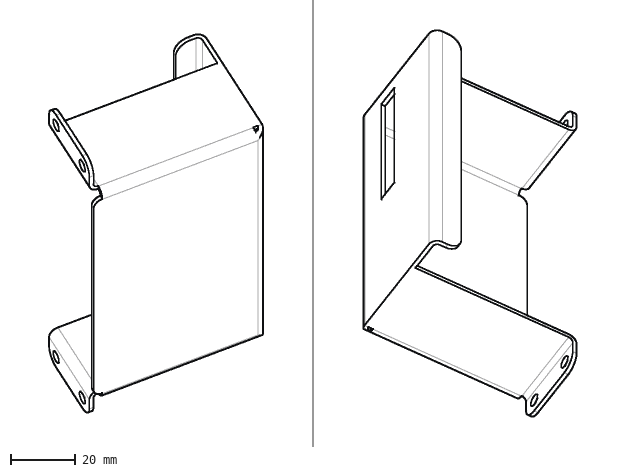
import cadquery as cq

width = 45.0
depth = 60.0
height = 122.0

sheet = 1.5
inner_bend = 1.6
outer_bend = inner_bend + sheet

tab_height = 11.0
tab_left = 13.5
tab_right = width - outer_bend
tab_corner = 5.0
hole_diameter = 4.0
hole_inset = 5.0

lip_depth = 10.0
lip_corner = 5.0

slot_left = 23.9
slot_width = 8.0
slot_height = 45.0
slot_top_margin = 5.0

box_top = height / 2 - tab_height
side_top = box_top - outer_bend


def box(x_range, y_range, z_range):
    """Rectangular block between the given limits."""
    sizes = [high - low for low, high in (x_range, y_range, z_range)]
    corner = (x_range[0], y_range[0], z_range[0])
    return cq.Workplane("XY").box(*sizes, centered=False).translate(corner)


def bend(plane, origin, x_sign, y_sign, length):
    """Quarter-round bend about origin, opening towards one quadrant of the plane."""
    ring = cq.Workplane(plane, origin=origin).circle(outer_bend).circle(inner_bend).extrude(length)
    quadrant = (
        cq.Workplane(plane, origin=origin)
        .rect(x_sign * outer_bend, y_sign * outer_bend, centered=False)
        .extrude(length)
    )
    return ring.intersect(quadrant)


def back_plate():
    """Flat back with its rectangular window."""
    plate = box((outer_bend, tab_right), (depth - sheet, depth), (-box_top, box_top))
    slot_top = box_top - slot_top_margin
    slot = box(
        (slot_left, slot_left + slot_width),
        (depth - sheet, depth),
        (slot_top - slot_height, slot_top),
    )
    return plate.cut(slot)


def left_lip():
    """Lip folded forward from the back plate, with rounded front corners."""
    lip = box((0, sheet), (depth - lip_depth, depth - outer_bend), (-box_top, box_top))
    lip = lip.edges("|X and <Y").fillet(lip_corner)
    fold = bend("XY", (outer_bend, depth - outer_bend, -box_top), -1, 1, 2 * box_top)
    return lip.union(fold)


def right_side():
    """Right side folded forward from the back plate, with rounded front corners."""
    side = box((width - sheet, width), (0, depth - outer_bend), (-side_top, side_top))
    side = side.edges("|X and <Y").fillet(outer_bend)
    fold = bend("XY", (tab_right, depth - outer_bend, -box_top), 1, 1, 2 * box_top)

    rounded_outline = box((0, width), (0, depth), (-box_top, box_top))
    rounded_outline = rounded_outline.edges("|Y and >X").fillet(outer_bend)
    fold = fold.intersect(rounded_outline)
    return side.union(fold)


def top_wall():
    """Top wall with its bend to the right side and its upturned mounting tab."""
    wall = box((tab_left, tab_right), (outer_bend, depth - sheet), (box_top - sheet, box_top))

    side_fold = bend("XZ", (tab_right, depth - outer_bend, side_top), 1, 1, depth - 2 * outer_bend)

    tab_bottom = box_top + inner_bend
    tab = box((tab_left, tab_right), (0, sheet), (tab_bottom, height / 2))
    tab = tab.edges("|Y and >Z").fillet(tab_corner)
    for hole_x in (tab_left + hole_inset, tab_right - hole_inset):
        hole = (
            cq.Workplane("XZ", origin=(hole_x, sheet, height / 2 - hole_inset))
            .circle(hole_diameter / 2)
            .extrude(sheet)
        )
        tab = tab.cut(hole)
    tab_fold = bend("YZ", (tab_left, outer_bend, tab_bottom), -1, -1, tab_right - tab_left)

    return wall.union(side_fold).union(tab_fold).union(tab)


upper = top_wall()
lower = upper.mirror("XY")
result = back_plate().union(left_lip()).union(right_side()).union(upper).union(lower)